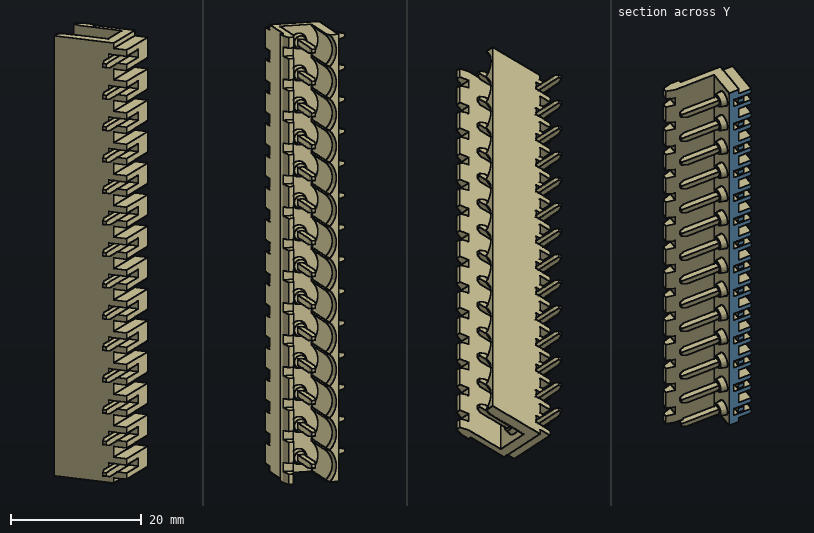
import cadquery as cq

LENGTH = 70.0
POLES = 14
PITCH = LENGTH / POLES

DEPTH = 12.2
BODY_DEPTH = 10.0
FLOOR_X = 8.25
HEIGHT = 8.0
LATCH_WALL_Y = 6.85

LIP_TOP_Y = 8.5
LIP_LENGTH = 3.0
LIP_LEAD = 1.5
LIP_NOSE_LOW_Y = 7.3
LIP_NOSE_HIGH_Y = 8.05
NOTCH_MOUTH_WIDTH = 1.7
NOTCH_FLOOR_WIDTH = 1.4

CONTACT_Y = 3.85
SOCKET_RADIUS = 3.1
MOUTH_FLARE = 0.35
MOUTH_DEPTH = 1.0
RIDGE_Y = 1.8

TOOTH_WIDTH = 3.3
SLOT_START_X = 9.2
SLOT_WIDTH = 1.25

PIN_SIZE = 1.0
PIN_TIP_SIZE = 0.55
PIN_TAPER = 0.85
CONTACT_TIP_X = 0.7
TAIL_X = 10.35
TAIL_TIP_Y = -4.1
COLLAR_BASE_DIAMETER = 2.45
COLLAR_END_DIAMETER = 2.0
COLLAR_LENGTH = 1.05

POLE_CENTRES = [(pole + 0.5) * PITCH for pole in range(POLES)]
MOUTH_RADIUS = SOCKET_RADIUS + MOUTH_FLARE
SLOT_DEPTH = CONTACT_Y + PIN_SIZE / 2


def block(x_range, y_range, z_range):
    """Axis-aligned box between pairs of limits."""
    (x0, x1), (y0, y1), (z0, z1) = x_range, y_range, z_range
    return cq.Workplane("XY").box(x1 - x0, y1 - y0, z1 - z0, centered=False).translate((x0, y0, z0))


def around(centre, width):
    """Limits of a span of the given width about a centre."""
    return (centre - width / 2, centre + width / 2)


def channel():
    """Constant section of the housing, with the latch lip on its back wall."""
    return (
        cq.Workplane("XY")
        .moveTo(0, 0)
        .lineTo(BODY_DEPTH, 0)
        .lineTo(BODY_DEPTH, HEIGHT)
        .lineTo(LIP_LENGTH, HEIGHT)
        .lineTo(LIP_LENGTH, LIP_TOP_Y)
        .lineTo(LIP_LEAD, LIP_TOP_Y)
        .lineTo(0, LIP_NOSE_HIGH_Y)
        .lineTo(0, LIP_NOSE_LOW_Y)
        .lineTo(LIP_LEAD, LATCH_WALL_Y)
        .lineTo(FLOOR_X, LATCH_WALL_Y)
        .lineTo(FLOOR_X, RIDGE_Y)
        .lineTo(MOUTH_DEPTH, RIDGE_Y)
        .lineTo(0, RIDGE_Y - MOUTH_FLARE)
        .close()
        .extrude(LENGTH)
    )


def socket(z):
    """Half-round clearance with a flared mouth, scalloping the board-side wall."""
    bore = (
        cq.Workplane("XY")
        .moveTo(0, CONTACT_Y)
        .lineTo(0, CONTACT_Y - MOUTH_RADIUS)
        .lineTo(MOUTH_DEPTH, CONTACT_Y - SOCKET_RADIUS)
        .lineTo(FLOOR_X, CONTACT_Y - SOCKET_RADIUS)
        .lineTo(FLOOR_X, CONTACT_Y)
        .close()
        .revolve(360, (0, CONTACT_Y), (1, CONTACT_Y))
    )
    board_side = block((0, FLOOR_X), (0, CONTACT_Y), (-MOUTH_RADIUS, MOUTH_RADIUS))
    return bore.intersect(board_side).translate((0, 0, z))


def lip_notch(z):
    """Flared notch that splits the lead-in of the latch lip."""
    mouth_half = NOTCH_MOUTH_WIDTH / 2
    floor_half = NOTCH_FLOOR_WIDTH / 2
    return (
        cq.Workplane("XZ", origin=(0, LIP_TOP_Y, z))
        .moveTo(0, -mouth_half)
        .lineTo(LIP_LEAD, -floor_half)
        .lineTo(LIP_LEAD, floor_half)
        .lineTo(0, mouth_half)
        .close()
        .extrude(LIP_TOP_Y - LATCH_WALL_Y)
    )


def tooth(z):
    """Block standing on the rear of the housing."""
    return block((BODY_DEPTH, DEPTH), (0, HEIGHT), around(z, TOOTH_WIDTH))


def pin_slot(z):
    """Slot that lets the solder tail into the tooth from the board face."""
    return block((SLOT_START_X, DEPTH), (0, SLOT_DEPTH), around(z, SLOT_WIDTH))


def square_pin(length):
    """Square pin rising along local Z, tapered at its far end."""
    shank = length - PIN_TAPER
    tip = (
        cq.Workplane("XY", origin=(0, 0, shank))
        .rect(PIN_SIZE, PIN_SIZE)
        .workplane(offset=PIN_TAPER)
        .rect(PIN_TIP_SIZE, PIN_TIP_SIZE)
        .loft(ruled=True)
    )
    return cq.Workplane("XY").rect(PIN_SIZE, PIN_SIZE).extrude(shank).union(tip)


def contact(z):
    """Right-angle pin with a conical collar seated on the channel floor."""
    bend_x = TAIL_X + PIN_SIZE / 2
    blade = (
        square_pin(bend_x - CONTACT_TIP_X)
        .rotate((0, 0, 0), (0, 1, 0), -90)
        .translate((bend_x, CONTACT_Y, z))
    )
    tail = (
        square_pin(CONTACT_Y - TAIL_TIP_Y)
        .rotate((0, 0, 0), (1, 0, 0), 90)
        .translate((TAIL_X, CONTACT_Y, z))
    )
    collar = (
        cq.Workplane("YZ", origin=(FLOOR_X, CONTACT_Y, z))
        .circle(COLLAR_BASE_DIAMETER / 2)
        .workplane(offset=-COLLAR_LENGTH)
        .circle(COLLAR_END_DIAMETER / 2)
        .loft(ruled=True)
    )
    return blade.union(tail).union(collar)


def at_every_pole(feature):
    """One compound holding the feature at each pole."""
    copies = [feature(z).val() for z in POLE_CENTRES]
    return cq.Workplane(obj=cq.Compound.makeCompound(copies))


housing = channel().union(at_every_pole(tooth))
for recess in (lip_notch, pin_slot):
    housing = housing.cut(at_every_pole(recess))
for pole_z in POLE_CENTRES:
    housing = housing.cut(socket(pole_z))

result = housing.union(at_every_pole(contact))